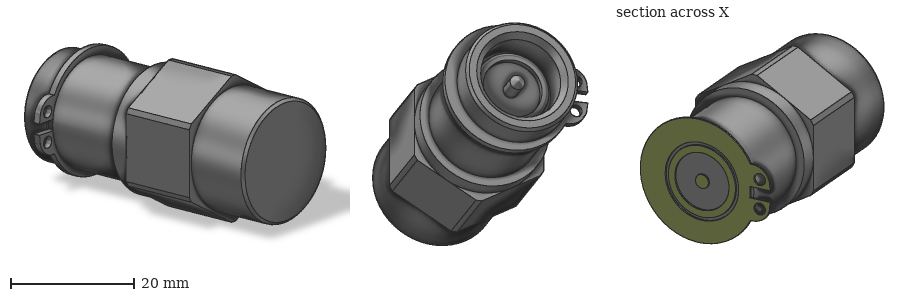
import cadquery as cq
import math

total_length = 48.0
groove_start = 5.1
ring_start = 5.25
ring_thickness = 1.2
groove_end = ring_start + ring_thickness
collar_start = 20.4
hex_start = 23.4
hex_end = 36.9

front_diameter = 19.0
groove_diameter = 18.0
collar_diameter = 22.0
hex_across_flats = 22.0
hex_corner_diameter = 24.8
rear_diameter = 21.0
end_chamfer = 0.5

mouth_diameter = 15.55
socket_diameter = 13.6
mouth_cone_depth = 0.95
sleeve_diameter = 12.6
sleeve_bore_diameter = 10.0
sleeve_front = 5.3
sleeve_edge_radius = 0.55
socket_depth = 6.45

pin_diameter = 2.5
pin_tip = 1.65
pin_shoulder = 2.7

ring_radius = 10.9
ring_offset = 0.6
lug_reach = 12.75
lug_root_y = 9.1
lug_half_width = 5.0
lug_shoulder_y = 11.45
lug_shoulder_z = 4.25
lug_corner_y = 12.6
lug_corner_z = 2.55
lug_gap = 1.9
lug_hole_diameter = 2.0
lug_hole_y = 10.75
lug_hole_z = 2.6


def cylinder(start, end, diameter):
    """Solid cylinder on the X axis between two stations."""
    return cq.Workplane("YZ", origin=(start, 0, 0)).circle(diameter / 2).extrude(end - start)


def make_body():
    front = cylinder(0, collar_start, front_diameter).faces("<X").chamfer(end_chamfer)
    rear = cylinder(hex_end, total_length, rear_diameter).faces(">X").chamfer(end_chamfer)
    collar = cylinder(collar_start, hex_start, collar_diameter)
    hexagon = (
        cq.Workplane("YZ", origin=(hex_start, 0, 0))
        .transformed(rotate=(0, 0, 90))
        .polygon(6, hex_across_flats / math.cos(math.pi / 6))
        .extrude(hex_end - hex_start)
        .intersect(cylinder(hex_start, hex_end, hex_corner_diameter))
    )
    groove = cylinder(groove_start, groove_end, front_diameter).cut(
        cylinder(groove_start, groove_end, groove_diameter)
    )
    return front.union(collar).union(hexagon).union(rear).cut(groove)


def make_socket():
    """Space removed from the front end."""
    return (
        cq.Workplane("XY")
        .lineTo(0, mouth_diameter / 2)
        .lineTo(mouth_cone_depth, socket_diameter / 2)
        .lineTo(socket_depth, socket_diameter / 2)
        .lineTo(socket_depth, 0)
        .close()
        .revolve(360, (0, 0, 0), (1, 0, 0))
    )


def make_sleeve():
    """Thin sleeve standing on the socket floor, with a rounded outer front edge."""
    sleeve = cylinder(sleeve_front, socket_depth, sleeve_diameter)
    sleeve = sleeve.faces("<X").edges().fillet(sleeve_edge_radius)
    return sleeve.cut(cylinder(sleeve_front, socket_depth, sleeve_bore_diameter))


def make_pin():
    """Centre pin with a conical point."""
    return (
        cq.Workplane("XY")
        .moveTo(pin_tip, 0)
        .lineTo(pin_shoulder, pin_diameter / 2)
        .lineTo(socket_depth, pin_diameter / 2)
        .lineTo(socket_depth, 0)
        .close()
        .revolve(360, (0, 0, 0), (1, 0, 0))
    )


def make_retaining_ring():
    """Open ring in the groove, with two drilled lugs on the -Y side."""
    plane = cq.Workplane("YZ", origin=(ring_start, 0, 0))
    ring = plane.center(ring_offset, 0).circle(ring_radius).extrude(ring_thickness)
    for side in (-1, 1):
        lug = (
            plane.moveTo(0, 0)
            .lineTo(-lug_root_y, side * lug_half_width)
            .threePointArc(
                (-lug_shoulder_y, side * lug_shoulder_z),
                (-lug_corner_y, side * lug_corner_z),
            )
            .lineTo(-lug_reach, side * lug_gap / 2)
            .lineTo(-lug_reach, 0)
            .close()
            .extrude(ring_thickness)
        )
        ring = ring.union(lug)
    holes = (
        plane.pushPoints([(-lug_hole_y, lug_hole_z), (-lug_hole_y, -lug_hole_z)])
        .circle(lug_hole_diameter / 2)
        .extrude(ring_thickness)
    )
    gap = plane.center(-lug_reach / 2, 0).rect(lug_reach, lug_gap).extrude(ring_thickness)
    groove_core = cylinder(groove_start, groove_end, groove_diameter)
    return ring.cut(holes).cut(gap).cut(groove_core)


result = (
    make_body()
    .cut(make_socket())
    .union(make_sleeve())
    .union(make_pin())
    .union(make_retaining_ring())
)